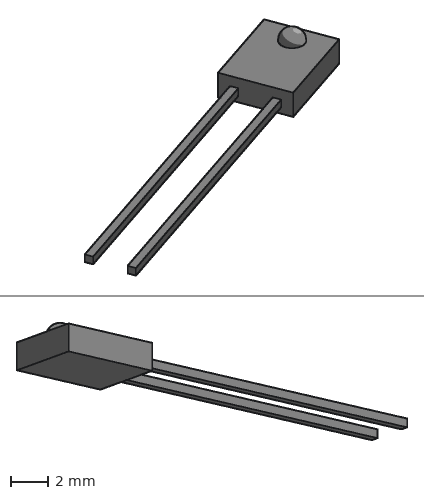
import cadquery as cq

total_length = 23.7
body_width = 4.45
body_length = 5.7
body_height = 1.56
lens_radius = 0.75
lens_setback = 1.18
lead_size = 0.5
lead_pitch = 2.53
lead_axis_height = 0.66
lead_length = total_length - body_length


def make_body():
    """Rectangular package with its front face at Y = 0 and its base at Z = 0."""
    return cq.Workplane("XY").box(body_width, body_length, body_height, centered=(True, False, False))


def make_lens():
    """Sphere centred on the top face, so that its upper half stands proud."""
    return cq.Workplane("XY").sphere(lens_radius).translate((0, body_length - lens_setback, body_height))


def make_lead(x):
    """Square lead running forward from the front face of the body."""
    lead = cq.Workplane("XY").box(lead_size, lead_length, lead_size)
    return lead.translate((x, -lead_length / 2, lead_axis_height))


result = make_body().union(make_lens())
for side in (-1, 1):
    result = result.union(make_lead(side * lead_pitch / 2))